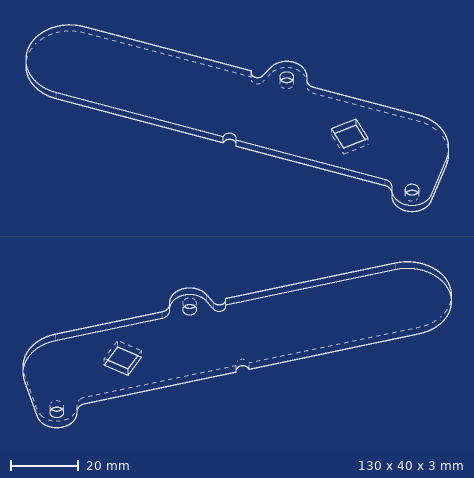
import cadquery as cq
import math

length = 130.0
overall_width = 40.0
body_width = 26.0
thickness = 3.0
ear_radius = 6.0
ear_hole_diameter = 4.0
fillet_radius = 3.0
notch_radius = 2.0
upper_ear_x = 75.7
notch_x = 67.0
diamond_x = 100.0
diamond_side = 8.0

TOUCHING = 1.3e-06

half_width = body_width / 2
ear_y = overall_width / 2 - ear_radius
upper_ear = (upper_ear_x, ear_y)
lower_ear = (length - ear_radius, -ear_y)
upper_notch = (notch_x, half_width)
lower_notch = (notch_x, -half_width)
left_end = (half_width, 0)
right_corner = (length - half_width, 0)

fillet_rise = half_width + fillet_radius - ear_y
fillet_run = math.sqrt((ear_radius + fillet_radius) ** 2 - fillet_rise**2)
fillet_angle = math.degrees(math.atan2(fillet_rise, fillet_run))
upper_fillet = (upper_ear[0] + fillet_run, half_width + fillet_radius)
lower_fillet = (lower_ear[0] - fillet_run, -half_width - fillet_radius)

notch_run = notch_x - upper_ear_x
notch_drop = half_width - ear_y
centre_distance = math.hypot(notch_run, notch_drop)
centre_angle = math.degrees(math.atan2(notch_drop, notch_run)) % 360
tangent_turn = math.degrees(math.acos((ear_radius + notch_radius) / centre_distance))
flank_angle = centre_angle - tangent_turn


def point_on_circle(centre, radius, angle):
    """Point at an angle, in degrees, on a circle."""
    turn = math.radians(angle)
    return (centre[0] + radius * math.cos(turn), centre[1] + radius * math.sin(turn))


outline_arcs = [
    (left_end, half_width, 270, 180),
    (left_end, half_width, 180, 90),
    (upper_notch, notch_radius, 180, flank_angle + 180),
    (upper_ear, ear_radius, flank_angle, fillet_angle),
    (upper_fillet, fillet_radius, 180 + fillet_angle, 270),
    (right_corner, half_width, 90, 0),
    (lower_ear, ear_radius, 0, fillet_angle - 180),
    (lower_fillet, fillet_radius, fillet_angle, 90),
    (lower_notch, notch_radius, 0, 180),
]

outline_end = (half_width, -half_width)
outline = cq.Workplane("XY").moveTo(*outline_end)
for centre, radius, start, end in outline_arcs:
    arc_start = point_on_circle(centre, radius, start)
    arc_middle = point_on_circle(centre, radius, (start + end) / 2)
    arc_end = point_on_circle(centre, radius, end)
    if math.dist(outline_end, arc_start) > TOUCHING:
        outline = outline.lineTo(*arc_start)
    outline = outline.threePointArc(arc_middle, arc_end)
    outline_end = arc_end
plate = outline.close().extrude(thickness)

ear_holes = (
    cq.Workplane("XY").pushPoints([upper_ear, lower_ear]).circle(ear_hole_diameter / 2).extrude(thickness)
)

diamond = (
    cq.Workplane("XY").center(diamond_x, 0).polygon(4, diamond_side * math.sqrt(2)).extrude(thickness)
)

result = plate.cut(ear_holes).cut(diamond)